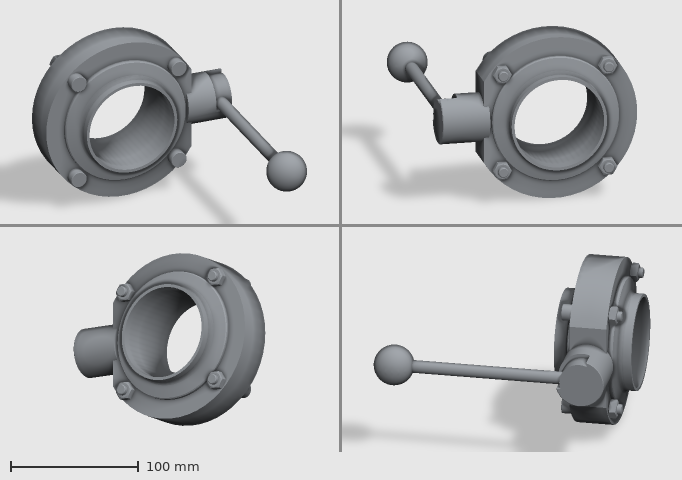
import cadquery as cq
import math


PIPE_HALF_LENGTH = 30.9
PIPE_RADIUS = 76.6 / 2
BORE_RADIUS = 72.0 / 2
FLANGE_RADIUS = 66.0
FLANGE_HALF_WIDTH = 14.7
FLAT_Y = 57.0
BOSS_RADIUS = 102.0 / 2
BOSS_EDGE_X = 18.3
BOSS_EDGE_CHAMFER = 0.8
BOSS_CONE_ANGLE = 14.0
NECK_FILLET = 3.0

BOLT_CIRCLE_RADIUS = 58.5
FAR_BOLT_ANGLE = 45.0
NEAR_BOLT_ANGLE = 42.4
BOLT_RADIUS = 8.0 / 2
BOLT_TIP_X = 24.8
BOLT_TIP_CHAMFER = 0.5
NUT_FLATS = 13.0
NUT_HEIGHT = 6.5
NUT_CHAMFER_RADIUS = 5.8
NUT_CHAMFER_ANGLE = 30.0
HEAD_RADIUS = 13.0 / 2
HEAD_HEIGHT = 8.0
HEAD_CHAMFER = 0.4

SLEEVE_RADIUS = 39.0 / 2
SLEEVE_FOOT_Y = 52.9
HUB_END_Y = 90.8
SLEEVE_END_CHAMFER = 0.5
CORE_RADIUS = 32.0 / 2
ROD_RADIUS = 10.0 / 2
BALL_RADIUS = 32.0 / 2
BALL_Y = 82.0
BALL_X = 196.5 - PIPE_HALF_LENGTH - BALL_RADIUS
WINDOW_MARGIN = 5.7
WINDOW_CORNER_FILLET = 1.5


def cylinder_x(radius, start, length, y=0.0, z=0.0):
    """Cylinder parallel to X."""
    return cq.Workplane("YZ", origin=(start, y, z)).circle(radius).extrude(length)


def cylinder_y(radius, start, end):
    """Cylinder on the stem axis."""
    return cq.Workplane("XZ", origin=(0, start, 0)).circle(radius).extrude(start - end)


def centred_box(width_x, start_y, end_y, height_z):
    """Box spanning start_y to end_y, centred on the XY and YZ planes."""
    box = cq.Workplane("XY").box(width_x, end_y - start_y, height_z)
    return box.translate((0, (start_y + end_y) / 2, 0))


def bolt_positions():
    """Y, Z of the four bolts, mirrored about the XY plane."""
    positions = []
    for angle in (180.0 - FAR_BOLT_ANGLE, NEAR_BOLT_ANGLE):
        y = BOLT_CIRCLE_RADIUS * math.cos(math.radians(angle))
        z = BOLT_CIRCLE_RADIUS * math.sin(math.radians(angle))
        positions += [(y, z), (y, -z)]
    return positions


def body_half():
    """Half of the valve body on the +X side, without fasteners."""
    cone_slope = math.tan(math.radians(BOSS_CONE_ANGLE))
    cone_radius = BOSS_RADIUS - BOSS_EDGE_CHAMFER
    neck_x = BOSS_EDGE_X + (cone_radius - PIPE_RADIUS) * cone_slope
    profile = [
        (0, BORE_RADIUS),
        (0, FLANGE_RADIUS),
        (FLANGE_HALF_WIDTH, FLANGE_RADIUS),
        (FLANGE_HALF_WIDTH, BOSS_RADIUS),
        (BOSS_EDGE_X - BOSS_EDGE_CHAMFER, BOSS_RADIUS),
        (BOSS_EDGE_X, cone_radius),
        (neck_x, PIPE_RADIUS),
        (PIPE_HALF_LENGTH, PIPE_RADIUS),
        (PIPE_HALF_LENGTH, BORE_RADIUS),
    ]
    half = cq.Workplane("XY").polyline(profile).close().revolve(360, (0, 0, 0), (1, 0, 0))
    neck_edge = half.edges(cq.selectors.NearestToPointSelector((neck_x, 0, 0)))
    half = neck_edge.fillet(NECK_FILLET)
    rim_waste = centred_box(2 * FLANGE_HALF_WIDTH, FLAT_Y, FLANGE_RADIUS, 2 * FLANGE_RADIUS)
    return half.cut(rim_waste)


def nut(y, z):
    """Hexagon nut on the +X flange face, chamfered on both faces."""
    across_corners = NUT_FLATS / math.cos(math.radians(30))
    seat = cq.Workplane("YZ", origin=(FLANGE_HALF_WIDTH, y, z))
    hexagon = seat.polygon(6, across_corners).extrude(NUT_HEIGHT)
    corner_radius = across_corners / 2
    drop = (corner_radius - NUT_CHAMFER_RADIUS) * math.tan(math.radians(NUT_CHAMFER_ANGLE))
    envelope = (
        cq.Workplane("XY")
        .polyline([
            (0, 0),
            (0, NUT_CHAMFER_RADIUS),
            (drop, corner_radius),
            (NUT_HEIGHT - drop, corner_radius),
            (NUT_HEIGHT, NUT_CHAMFER_RADIUS),
            (NUT_HEIGHT, 0),
        ])
        .close()
        .revolve(360, (0, 0, 0), (1, 0, 0))
        .translate((FLANGE_HALF_WIDTH, y, z))
    )
    return hexagon.intersect(envelope)


def bolt_tip(y, z):
    """Bolt end that stands out of its nut."""
    tip = cylinder_x(BOLT_RADIUS, FLANGE_HALF_WIDTH, BOLT_TIP_X - FLANGE_HALF_WIDTH, y, z)
    return tip.faces(">X").chamfer(BOLT_TIP_CHAMFER)


def bolt_head(y, z):
    """Cylindrical bolt head on the +X flange face."""
    head = cylinder_x(HEAD_RADIUS, FLANGE_HALF_WIDTH, HEAD_HEIGHT, y, z)
    return head.faces(">X").chamfer(HEAD_CHAMFER)


def make_nut_half():
    """Valve body half at -X, carrying the nuts and bolt ends."""
    half = body_half()
    for y, z in bolt_positions():
        half = half.union(nut(y, z)).union(bolt_tip(y, z))
    return half.mirror("YZ")


def make_head_half():
    """Valve body half at +X, carrying the bolt heads."""
    half = body_half()
    for y, z in bolt_positions():
        half = half.union(bolt_head(y, z))
    return half


def make_sleeve():
    """Fixed sleeve that straddles the flange, with a window for the quarter turn of the rod."""
    sleeve = cylinder_y(SLEEVE_RADIUS, SLEEVE_FOOT_Y, HUB_END_Y).faces(">Y").chamfer(SLEEVE_END_CHAMFER)
    flange_slot = centred_box(2 * FLANGE_HALF_WIDTH, SLEEVE_FOOT_Y, FLAT_Y, 2 * SLEEVE_RADIUS)
    window_floor_y = BALL_Y - WINDOW_MARGIN
    window = (
        cq.Workplane("XY")
        .box(2 * SLEEVE_RADIUS, 2 * (HUB_END_Y - window_floor_y), 2 * SLEEVE_RADIUS, centered=False)
        .translate((-WINDOW_MARGIN, window_floor_y, -WINDOW_MARGIN))
        .edges("(<X and <Y) or (<Y and <Z)")
        .fillet(WINDOW_CORNER_FILLET)
    )
    return sleeve.cut(flange_slot).cut(cylinder_y(CORE_RADIUS, FLAT_Y, HUB_END_Y)).cut(window)


def make_core():
    """Turning core inside the sleeve, with a socket for the rod."""
    core = cylinder_y(CORE_RADIUS, FLAT_Y, HUB_END_Y)
    return core.cut(cylinder_x(ROD_RADIUS, 0, CORE_RADIUS, BALL_Y))


def make_lever():
    """Rod with its ball grip."""
    rod = cylinder_x(ROD_RADIUS, 0, BALL_X, BALL_Y)
    ball = cq.Workplane("YZ", origin=(BALL_X, BALL_Y, 0)).sphere(BALL_RADIUS)
    return rod.union(ball)


nut_half = make_nut_half()
head_half = make_head_half()
sleeve = make_sleeve()
core = make_core()
lever = make_lever()

result = cq.Compound.makeCompound([
    nut_half.val(),
    head_half.val(),
    sleeve.val(),
    core.val(),
    lever.val(),
])